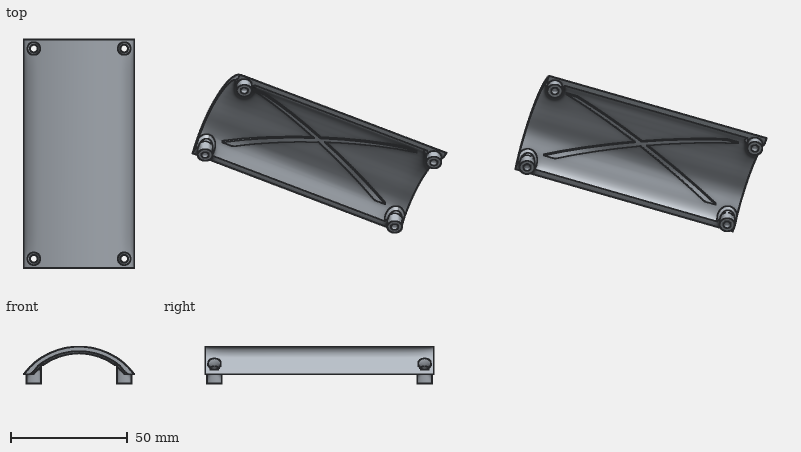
import cadquery as cq
import math

width = 47.5
length = 98.15
rise = 12.0
wall = 2.0
outer_radius = ((width / 2) ** 2 + rise ** 2) / (2 * rise)
inner_radius = outer_radius - wall
axis_z = rise - outer_radius

post_spacing_x = 38.8
post_spacing_y = 90.2
post_radius = 3.2
post_depth = 4.0
post_chamfer = 1.2
screw_hole_radius = 1.6
counterbore_radius = 2.75
counterbore_floor_z = 2.0

rib_width = 2.0
rib_height = 1.0
rib_span_x = 31.2

blank_length = 2 * length
wall_middle_radius = outer_radius - wall / 2


def tube_segment(radius_out, radius_in, segment_length, floor_z):
    """Part of a Y-directed tube about the cover's axis that lies above floor_z."""
    tube = (
        cq.Workplane("XZ", origin=(0, segment_length / 2, axis_z))
        .circle(radius_out)
        .circle(radius_in)
        .extrude(segment_length)
    )
    upper_space = cq.Workplane("XY", origin=(0, 0, floor_z)).rect(
        2 * radius_out, segment_length
    ).extrude(2 * radius_out)
    return tube.intersect(upper_space)


def corner_cylinders(radius, bottom_z, top_z):
    """Four upright cylinders on the post axes."""
    return (
        cq.Workplane("XY", origin=(0, 0, bottom_z))
        .rarray(post_spacing_x, post_spacing_y, 2, 2)
        .circle(radius)
        .extrude(top_z - bottom_z)
    )


def is_post_junction(edge):
    """True for the curve where a post meets the inner face of the wall."""
    center = edge.Center()
    near_wall = abs(math.hypot(center.x, center.z - axis_z) - inner_radius) < wall / 2
    near_post = abs(abs(center.y) - post_spacing_y / 2) < post_radius
    return edge.geomType() not in ("LINE", "CIRCLE") and near_wall and near_post


def cover_with_posts():
    """Arched wall with posts whose roots are chamfered into its inner face."""
    blank = tube_segment(outer_radius, inner_radius, blank_length, axis_z)
    wall_core = (
        cq.Workplane("XZ", origin=(0, length / 2, axis_z))
        .circle(wall_middle_radius)
        .extrude(length)
    )
    blank = blank.union(corner_cylinders(post_radius, axis_z, rise).intersect(wall_core))
    junctions = [edge for edge in blank.edges().vals() if is_post_junction(edge)]
    blank = blank.newObject(junctions).chamfer(post_chamfer)
    trim_box = cq.Workplane("XY").box(width, length, rise, centered=(True, True, False))
    lower_posts = corner_cylinders(post_radius, -post_depth, 0)
    return blank.intersect(trim_box).union(lower_posts)


def crossed_ribs():
    """Two diagonal ribs forming an X, following the curved inner face."""
    rib_angle = math.degrees(math.atan2(post_spacing_y, post_spacing_x))
    diagonal = math.hypot(post_spacing_x, post_spacing_y)
    bars = cq.Workplane("XY")
    for angle in (rib_angle, -rib_angle):
        bar = cq.Workplane("XY").rect(diagonal, rib_width).extrude(rise)
        bars = bars.union(bar.rotate((0, 0, 0), (0, 0, 1), angle))
    rib_zone = cq.Workplane("XY").rect(rib_span_x, length).extrude(rise)
    rib_layer = tube_segment(wall_middle_radius, inner_radius - rib_height, length, 0)
    return bars.intersect(rib_zone).intersect(rib_layer)


counterbores = corner_cylinders(counterbore_radius, counterbore_floor_z, rise)
screw_holes = corner_cylinders(screw_hole_radius, -post_depth, rise)

result = cover_with_posts().union(crossed_ribs()).cut(counterbores).cut(screw_holes)